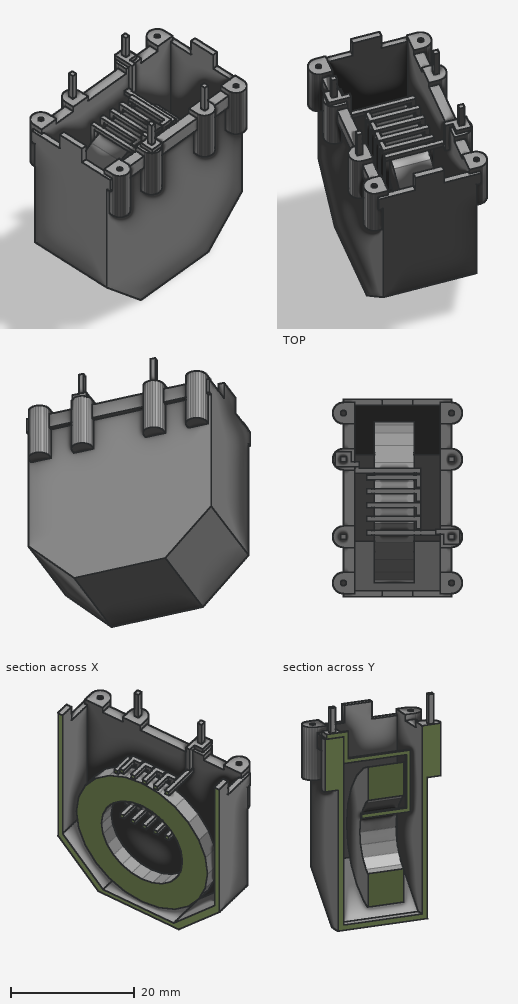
import cadquery as cq
FACETS = 24

LENGTH = 32.0
BODY_WIDTH = 16.05
COLLAR_WIDTH = 17.55
CAVITY_WIDTH = 13.9
WALL = 1.0
RIM_Z = 32.0
COLLAR_BOTTOM_Z = 29.45
SLOPE = 8.0
TAB_WIDTH = 4.95
TAB_TOP_Z = 34.95

BOSS_RADIUS = 1.75
BOSS_X = 8.76
END_BOSS_Y = 13.75
PIN_BOSS_Y = 6.27
BOSS_BOTTOM_Z = 23.98
BOSS_TOP_Z = 33.0
HOLE_DIAMETER = 0.9
HOLE_DEPTH = 4.95

PIN_WIDTH_X = 0.9
PIN_WIDTH_Y = 0.8
PIN_TOP_Z = 38.0

CORE_RADIUS = 13.05
CORE_HOLE_RADIUS = 7.98
CORE_WIDTH = 6.45
CORE_X = -0.55
CORE_Y = -0.7

WIRE = 0.8
STRAND_COUNT = 5
STRAND_PITCH = 2.25
FIRST_STRAND_Y = 3.35
STRAND_TOP_Z = 29.15
RETURN_TOP_Z = 19.38
COIL_LEFT_X = -4.98
COIL_RIGHT_X = 3.8
CROSSOVER = 1.2
FIRST_RETURN_SHIFT = 0.08

LEAD_STRAND_Y = 4.45
LEAD_STRAND_TOP_Z = 28.5
PAD_LENGTH_X = 2.6
PAD_LENGTH_Y = 2.45

CAVITY_SIDE_X = CAVITY_WIDTH / 2
RISER_X = CAVITY_SIDE_X - WIRE / 2
RISER_Y = PIN_BOSS_Y - PAD_LENGTH_Y / 2 + WIRE / 2
PAD_TOP_Z = BOSS_TOP_Z + WIRE
CORE_Z = STRAND_TOP_Z - WIRE - CORE_RADIUS
COIL_LEFT_LEG_X = COIL_LEFT_X + WIRE / 2
COIL_RIGHT_LEG_X = COIL_RIGHT_X - WIRE / 2


def block(x_range, y_range, z_range):
    """Box between two limits along each axis."""
    sizes = [abs(limits[1] - limits[0]) for limits in (x_range, y_range, z_range)]
    corner = [min(limits) for limits in (x_range, y_range, z_range)]
    return cq.Workplane("XY").box(*sizes, centered=False).translate(tuple(corner))


def around(center, size):
    return (center - size / 2, center + size / 2)


def sloped_prism(length, width, bottom_z):
    """Prism along X whose two lower ends slope inward, up to the rim."""
    half = length / 2
    profile = [
        (half - SLOPE, bottom_z),
        (half, bottom_z + SLOPE),
        (half, RIM_Z),
        (-half, RIM_Z),
        (-half, bottom_z + SLOPE),
        (SLOPE - half, bottom_z),
    ]
    return cq.Workplane("YZ").polyline(profile).close().extrude(width / 2, both=True)


def boss(side, y):
    """D-shaped column: flat along the cavity side, round on the outside."""
    height = BOSS_TOP_Z - BOSS_BOTTOM_Z
    column = (
        cq.Workplane("XY", origin=(side * BOSS_X, y, BOSS_BOTTOM_Z))
        .polygon(FACETS, 2 * BOSS_RADIUS)
        .extrude(height)
    )
    y_range = around(y, 2 * BOSS_RADIUS)
    z_range = (BOSS_BOTTOM_Z, BOSS_TOP_Z)
    flat_part = block((side * CAVITY_SIDE_X, side * BOSS_X), y_range, z_range)
    cavity_side = block((0, side * CAVITY_SIDE_X), y_range, z_range)
    return column.union(flat_part).cut(cavity_side)


def make_housing():
    body = sloped_prism(LENGTH, BODY_WIDTH, 0)
    collar = block(around(0, COLLAR_WIDTH), around(0, LENGTH), (COLLAR_BOTTOM_Z, RIM_Z))
    cavity = sloped_prism(LENGTH - 2 * WALL, CAVITY_WIDTH, WALL)
    housing = body.union(collar).cut(cavity)
    for end in (-1, 1):
        tab_y = (end * (LENGTH / 2 - WALL), end * LENGTH / 2)
        housing = housing.union(block(around(0, TAB_WIDTH), tab_y, (COLLAR_BOTTOM_Z, TAB_TOP_Z)))
    for side in (-1, 1):
        for y in (-END_BOSS_Y, -PIN_BOSS_Y, PIN_BOSS_Y, END_BOSS_Y):
            housing = housing.union(boss(side, y))
    hole_places = [(x, y) for x in (-BOSS_X, BOSS_X) for y in (-END_BOSS_Y, END_BOSS_Y)]
    holes = (
        cq.Workplane("XY", origin=(0, 0, BOSS_TOP_Z))
        .pushPoints(hole_places)
        .polygon(FACETS, HOLE_DIAMETER)
        .extrude(-HOLE_DEPTH)
    )
    return housing.cut(holes)


def make_core():
    return (
        cq.Workplane("YZ", origin=(CORE_X - CORE_WIDTH / 2, CORE_Y, CORE_Z))
        .polygon(FACETS, 2 * CORE_RADIUS)
        .polygon(FACETS, 2 * CORE_HOLE_RADIUS)
        .extrude(CORE_WIDTH)
    )


def pin(x, y):
    """Square pin standing on a boss."""
    return block(around(x, PIN_WIDTH_X), around(y, PIN_WIDTH_Y), (BOSS_TOP_Z, PIN_TOP_Z))


def terminal(side, strand_top_z):
    """Pad and pin on a boss, with an arm and a riser down the cavity side; side -1 lies at +Y."""
    end = -side
    boss_x = side * BOSS_X
    boss_y = end * PIN_BOSS_Y
    pad_z = (BOSS_TOP_Z, PAD_TOP_Z)
    riser_y = around(end * RISER_Y, WIRE)
    riser_inner_x = side * (CAVITY_SIDE_X - WIRE)
    pad = block(around(boss_x, PAD_LENGTH_X), around(boss_y, PAD_LENGTH_Y), pad_z)
    arm = block((riser_inner_x, boss_x), riser_y, pad_z)
    riser = block((riser_inner_x, side * CAVITY_SIDE_X), riser_y, (strand_top_z - WIRE, PAD_TOP_Z))
    return pad.union(arm).union(riser).union(pin(boss_x, boss_y))


def wire_x(x_range, y, top_z):
    return block(x_range, around(y, WIRE), (top_z - WIRE, top_z))


def wire_y(x, y_start, y_end, top_z):
    """Wire along Y whose two ends reach half a wire past the given centers."""
    low, high = sorted((y_start, y_end))
    return block(around(x, WIRE), (low - WIRE / 2, high + WIRE / 2), (top_z - WIRE, top_z))


def leg(x, y, top_z):
    return block(around(x, WIRE), around(y, WIRE), (RETURN_TOP_Z - WIRE, top_z))


def make_start_lead():
    """Terminal at -X with the lower strand that starts the winding."""
    lead = terminal(-1, LEAD_STRAND_TOP_Z)
    link = wire_y(-RISER_X, RISER_Y, LEAD_STRAND_Y, LEAD_STRAND_TOP_Z)
    strand = wire_x((-CAVITY_SIDE_X, COIL_RIGHT_X), LEAD_STRAND_Y, LEAD_STRAND_TOP_Z)
    return lead.union(link).union(strand)


def make_winding():
    """Turns around the core, from under the start lead to the terminal at +X."""
    coil = terminal(1, STRAND_TOP_Z)
    right_leg_y = LEAD_STRAND_Y
    right_leg_top_z = LEAD_STRAND_TOP_Z - WIRE
    for index in range(STRAND_COUNT):
        strand_y = FIRST_STRAND_Y - index * STRAND_PITCH
        return_y = strand_y - FIRST_RETURN_SHIFT if index == 0 else strand_y
        is_last = index == STRAND_COUNT - 1
        strand_end_x = CAVITY_SIDE_X if is_last else COIL_RIGHT_X
        coil = (
            coil.union(leg(COIL_RIGHT_LEG_X, right_leg_y, right_leg_top_z))
            .union(wire_y(COIL_RIGHT_LEG_X, right_leg_y, return_y, RETURN_TOP_Z))
            .union(wire_x((COIL_LEFT_X, COIL_RIGHT_X), return_y, RETURN_TOP_Z))
            .union(leg(COIL_LEFT_LEG_X, return_y, STRAND_TOP_Z - WIRE))
            .union(wire_x((COIL_LEFT_X, strand_end_x), strand_y, STRAND_TOP_Z))
        )
        right_leg_y = strand_y - CROSSOVER
        right_leg_top_z = STRAND_TOP_Z
        if not is_last:
            coil = coil.union(wire_y(COIL_RIGHT_LEG_X, strand_y, right_leg_y, STRAND_TOP_Z))
    return coil


housing = make_housing()
core = make_core()
start_lead = make_start_lead()
winding = make_winding()
free_pins = [pin(side * BOSS_X, side * PIN_BOSS_Y) for side in (-1, 1)]

result = cq.Compound.makeCompound(
    [housing.val(), core.val(), start_lead.val(), winding.val(), *[free_pin.val() for free_pin in free_pins]]
)